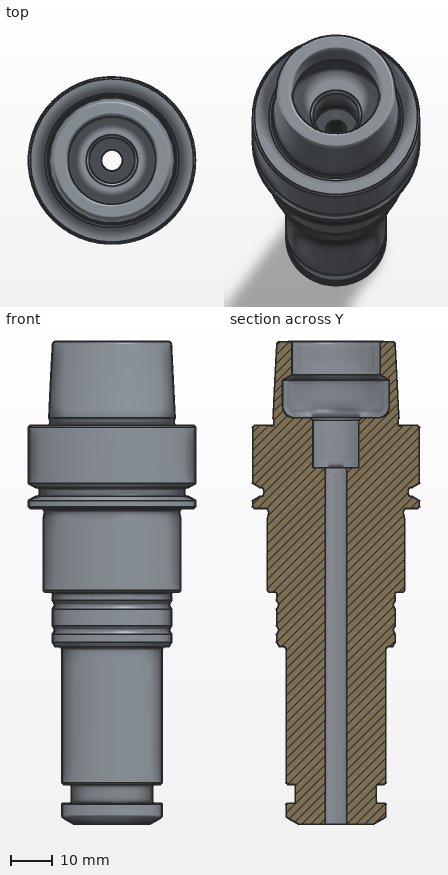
import cadquery as cq
import math


shank_length = 20.0
gauge_diameter = 30.007
gauge_height = 4.0
taper_ratio = 1 / 9.98
shank_edge = 0.8
neck_diameter = 29.91
taper_bottom = 1.8
neck_ramp_bottom = 1.3
face_recess_diameter = 32.1
face_recess_depth = 0.2
relief_radius = 0.5

flange_diameter = 40.0
flange_width = 20.0
flange_edge = 0.5
groove_floor_diameter = 34.8
groove_center = -16.0
groove_opening = 4.1
groove_slot_width = 2.1
groove_side_angle = 30.0
groove_fillet = 0.6
groove_clearance = 1.0

body_diameter = 33.0
body_bottom = -40.0
body_edge = 0.5
body_neck_diameter = 32.4
body_recess_diameter = 34.8
body_recess_depth = 0.1
body_relief_radius = 0.9
body_ramp_top = -21.1
body_ramp_bottom = -22.55

seal_diameter = 28.5
seal_bottom = -53.0
seal_relief_depth = 0.1
seal_relief_fillet = 0.5
seal_relief_length = 1.0
seal_lead_length = 1.1
seal_lead_angle = 30.0
seal_groove_centers = (-43.0, -49.0)
seal_groove_width = 2.1
seal_groove_side_angle = 30.0
seal_groove_radius = 1.0

stem_diameter = 24.0
stem_bottom = -86.0
stem_edge = 0.5
stem_fillet = 0.75

knob_neck_diameter = 19.5
knob_neck_fillet = 0.3
knob_top = -90.4
knob_edge = 0.3
part_bottom = -95.5
knob_cone_angle = 30.0
knob_end_diameter = 18.0
knob_fillet = 0.9

mouth_diameter = 21.0
mouth_depth = 8.0
chamber_diameter = 25.5
chamber_depth = 18.2
clamping_angle = 30.0
chamber_floor_fillet = 2.75
tube_hole_diameter = 10.92
tube_hole_mouth_diameter = 12.3
tube_hole_depth = 12.0
through_hole_diameter = 5.0


def taper_radius(z):
    """Radius of the shank cone at height z."""
    return (gauge_diameter - (z - gauge_height) * taper_ratio) / 2


def rise(run, angle):
    """Height of a slope that covers a run at an angle in degrees."""
    return run * math.tan(math.radians(angle))


def concave_fillet_below(profile, wall_radius, shoulder_z, fillet):
    """Round the inner corner under a shoulder, going in along it and down the wall."""
    mid = fillet * (1 - math.sqrt(0.5))
    return (
        profile.lineTo(wall_radius + fillet, shoulder_z)
        .threePointArc((wall_radius + mid, shoulder_z - mid), (wall_radius, shoulder_z - fillet))
    )


def concave_fillet_above(profile, wall_radius, shoulder_z, fillet):
    """Round the inner corner on top of a shoulder, going down the wall and out along it."""
    mid = fillet * (1 - math.sqrt(0.5))
    return (
        profile.lineTo(wall_radius, shoulder_z + fillet)
        .threePointArc((wall_radius + mid, shoulder_z + mid), (wall_radius + fillet, shoulder_z))
    )


def add_shank(profile):
    """Rounded mouth, cone, relief neck and shallow recess in the flange face."""
    cone_angle = math.atan(taper_ratio / 2)
    arc_z = shank_length - shank_edge
    arc_radius = taper_radius(arc_z) - shank_edge / math.cos(cone_angle)

    def arc_point(angle):
        return (arc_radius + shank_edge * math.cos(angle), arc_z + shank_edge * math.sin(angle))

    profile = (
        profile.lineTo(arc_radius, shank_length)
        .threePointArc(arc_point((math.pi / 2 + cone_angle) / 2), arc_point(cone_angle))
        .lineTo(taper_radius(taper_bottom), taper_bottom)
        .lineTo(neck_diameter / 2, neck_ramp_bottom)
    )
    profile = concave_fillet_above(profile, neck_diameter / 2, -face_recess_depth, relief_radius)
    return profile.lineTo(face_recess_diameter / 2, 0)


def add_flange(profile):
    """Plain flange rim with bevelled edges."""
    radius = flange_diameter / 2
    return (
        profile.lineTo(radius - flange_edge, 0)
        .lineTo(radius, -flange_edge)
        .lineTo(radius, -flange_width + flange_edge)
        .lineTo(radius - flange_edge, -flange_width)
    )


def add_body(profile):
    """Largest cylinder below the flange, with its relief neck and ramp."""
    radius = body_diameter / 2
    neck_radius = body_neck_diameter / 2
    recess_top = -flange_width + body_recess_depth
    profile = profile.lineTo(body_recess_diameter / 2, -flange_width)
    profile = concave_fillet_below(profile, neck_radius, recess_top, body_relief_radius)
    return (
        profile.lineTo(neck_radius, body_ramp_top)
        .lineTo(radius, body_ramp_bottom)
        .lineTo(radius, body_bottom + body_edge)
        .lineTo(radius - body_edge, body_bottom)
    )


def add_seal_groove(profile, radius, center):
    """Shallow V groove whose bottom is rounded tangent to both sides."""
    side_angle = math.radians(seal_groove_side_angle)
    half_width = seal_groove_width / 2
    half_arc = seal_groove_radius * math.sin(side_angle)
    arc_end_radius = radius - (half_width - half_arc) * math.tan(side_angle)
    bottom_radius = arc_end_radius - seal_groove_radius * (1 - math.cos(side_angle))
    return (
        profile.lineTo(radius, center + half_width)
        .lineTo(arc_end_radius, center + half_arc)
        .threePointArc((bottom_radius, center), (arc_end_radius, center - half_arc))
        .lineTo(radius, center - half_width)
    )


def add_seal_section(profile):
    """Cylinder with a relief at its top, two seal grooves and a lead-in."""
    radius = seal_diameter / 2
    relief_bottom = body_bottom - seal_relief_length
    profile = concave_fillet_below(profile, radius - seal_relief_depth, body_bottom, seal_relief_fillet)
    profile = profile.lineTo(radius, relief_bottom)
    for center in seal_groove_centers:
        profile = add_seal_groove(profile, radius, center)
    lead_inset = rise(seal_lead_length, seal_lead_angle)
    return (
        profile.lineTo(radius, seal_bottom + seal_lead_length)
        .lineTo(radius - lead_inset, seal_bottom)
    )


def add_stem(profile):
    """Long slim cylinder with a filleted top and bevelled bottom edge."""
    radius = stem_diameter / 2
    profile = concave_fillet_below(profile, radius, seal_bottom, stem_fillet)
    return (
        profile.lineTo(radius, stem_bottom + stem_edge)
        .lineTo(radius - stem_edge, stem_bottom)
    )


def add_knob(profile):
    """Waisted neck and end knob with a rounded edge and conical end."""
    radius = stem_diameter / 2
    neck_radius = knob_neck_diameter / 2
    profile = concave_fillet_below(profile, neck_radius, stem_bottom, knob_neck_fillet)
    profile = concave_fillet_above(profile, neck_radius, knob_top, knob_neck_fillet)

    end_radius = knob_end_diameter / 2
    corner_z = part_bottom + rise(radius - end_radius, knob_cone_angle)
    turn = math.radians(90 - knob_cone_angle)
    arc_top = corner_z + knob_fillet * math.tan(turn / 2)
    arc_center = radius - knob_fillet

    def arc_point(angle):
        return (arc_center + knob_fillet * math.cos(angle), arc_top - knob_fillet * math.sin(angle))

    return (
        profile.lineTo(radius - knob_edge, knob_top)
        .lineTo(radius, knob_top - knob_edge)
        .lineTo(radius, arc_top)
        .threePointArc(arc_point(turn / 2), arc_point(turn))
        .lineTo(end_radius, part_bottom)
    )


def make_outside():
    """Solid of revolution of the whole outer contour."""
    profile = cq.Workplane("XZ").moveTo(0, shank_length)
    for add_section in (add_shank, add_flange, add_body, add_seal_section, add_stem, add_knob):
        profile = add_section(profile)
    profile = profile.lineTo(0, part_bottom).close()
    return profile.revolve(360, (0, 0), (0, 1))


def make_gripping_groove():
    """Ring shaped as a slot with rounded floor corners and flared sides."""
    floor_radius = groove_floor_diameter / 2
    rim_radius = flange_diameter / 2
    half_slot = groove_slot_width / 2
    half_opening = groove_opening / 2
    flare_radius = rim_radius - (half_opening - half_slot) / math.tan(math.radians(groove_side_angle))
    outer_radius = rim_radius + groove_clearance
    half_outer = half_opening + rise(groove_clearance, groove_side_angle)
    ring = (
        cq.Workplane("XZ")
        .moveTo(floor_radius, groove_center + half_slot)
        .lineTo(flare_radius, groove_center + half_slot)
        .lineTo(outer_radius, groove_center + half_outer)
        .lineTo(outer_radius, groove_center - half_outer)
        .lineTo(flare_radius, groove_center - half_slot)
        .lineTo(floor_radius, groove_center - half_slot)
        .close()
        .revolve(360, (0, 0), (0, 1))
    )
    floor_edges = cq.selectors.RadiusNthSelector(0)
    return ring.edges("%CIRCLE").edges(floor_edges).fillet(groove_fillet)


def make_inside():
    """Clamping chamber, coolant tube hole and central through hole as one solid."""
    mouth_radius = mouth_diameter / 2
    chamber_radius = chamber_diameter / 2
    tube_radius = tube_hole_diameter / 2
    tube_mouth_radius = tube_hole_mouth_diameter / 2
    through_radius = through_hole_diameter / 2
    mouth_bottom = shank_length - mouth_depth
    chamber_top = mouth_bottom - rise(chamber_radius - mouth_radius, clamping_angle)
    chamber_floor = shank_length - chamber_depth
    tube_floor = chamber_floor - tube_hole_depth
    edge_mid = shank_edge * (1 - math.sqrt(0.5))
    floor_mid = chamber_floor_fillet * (1 - math.sqrt(0.5))
    return (
        cq.Workplane("XZ")
        .moveTo(0, shank_length)
        .lineTo(mouth_radius + shank_edge, shank_length)
        .threePointArc(
            (mouth_radius + edge_mid, shank_length - edge_mid),
            (mouth_radius, shank_length - shank_edge),
        )
        .lineTo(mouth_radius, mouth_bottom)
        .lineTo(chamber_radius, chamber_top)
        .lineTo(chamber_radius, chamber_floor + chamber_floor_fillet)
        .threePointArc(
            (chamber_radius - floor_mid, chamber_floor + floor_mid),
            (chamber_radius - chamber_floor_fillet, chamber_floor),
        )
        .lineTo(tube_mouth_radius, chamber_floor)
        .lineTo(tube_radius, chamber_floor - (tube_mouth_radius - tube_radius))
        .lineTo(tube_radius, tube_floor)
        .lineTo(through_radius, tube_floor)
        .lineTo(through_radius, part_bottom)
        .lineTo(0, part_bottom)
        .close()
        .revolve(360, (0, 0), (0, 1))
    )


result = make_outside().cut(make_gripping_groove()).cut(make_inside())